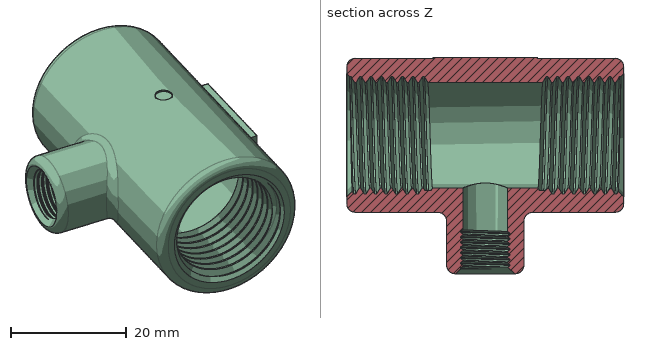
import cadquery as cq
import math

tube_length = 48.0
tube_diameter = 27.0
tube_bore_diameter = 18.6
tube_mouth_diameter = 21.6
tube_mouth_depth = 1.5

branch_diameter = 14.0
branch_reach = 24.0
branch_bore_diameter = 8.6
branch_mouth_diameter = 11.0
branch_mouth_depth = 1.2

edge_radius = 1.5

pad_length = 18.0
pad_height = 12.0

mark_diameter = 3.0
mark_depth = 0.3

tube_thread_pitch = 1.814
tube_thread_major_diameter = 20.6
tube_thread_length = 14.0
tube_thread_start_depth = 0.1
branch_thread_pitch = 0.907
branch_thread_major_diameter = 9.3
branch_thread_length = 7.5
branch_thread_start_depth = 0.35
thread_land_share = 0.13
thread_root_share = 0.17
thread_overlap = 0.05

tube_radius = tube_diameter / 2
tube_end = tube_length / 2

left_mouth = cq.Plane(origin=(-tube_end, 0, 0), xDir=(0, 0, 1), normal=(1, 0, 0))
right_mouth = cq.Plane(origin=(tube_end, 0, 0), xDir=(0, 0, 1), normal=(-1, 0, 0))
branch_mouth = cq.Plane(origin=(0, -branch_reach, 0), xDir=(0, 0, 1), normal=(0, 1, 0))


def make_outer_body():
    """Tube and branch with blended junction and rounded ends."""
    tube = cq.Workplane(left_mouth).circle(tube_radius).extrude(tube_length)
    branch = cq.Workplane(branch_mouth).circle(branch_diameter / 2).extrude(branch_reach)
    body = tube.union(branch)
    junction = cq.selectors.BoxSelector(
        (-branch_diameter, -tube_radius - edge_radius, -branch_diameter),
        (branch_diameter, -edge_radius, branch_diameter),
    )
    body = body.edges(junction).edges("not %CIRCLE").edges("not %LINE").fillet(edge_radius)
    return body.faces("<X or >X or <Y").edges().fillet(edge_radius)


def make_pad():
    """Block whose flat face is tangent to the back of the tube."""
    return cq.Workplane("XY").box(pad_length, tube_radius, pad_height, centered=(True, False, True))


def make_bore(plane, diameter, length, mouth_diameter, mouth_depth):
    """Bore with a conical lead-in at its mouth."""
    bore = cq.Workplane(plane).circle(diameter / 2).extrude(length)
    taper = math.degrees(math.atan((mouth_diameter - diameter) / 2 / mouth_depth))
    lead_in = cq.Workplane(plane).circle(mouth_diameter / 2).extrude(mouth_depth, taper=taper)
    return bore.union(lead_in)


def make_thread(plane, bore_diameter, major_diameter, pitch, start_depth, length, left_handed):
    """Helical groove with a trapezoidal section, cut outward from the bore."""
    inner_radius = bore_diameter / 2 - thread_overlap
    root_radius = major_diameter / 2
    root_half_width = pitch * thread_root_share / 2
    mouth_half_width = pitch * (1 - thread_land_share) / 2
    helix = cq.Wire.makeHelix(pitch, length, inner_radius, lefthand=left_handed)
    groove = (
        cq.Workplane("XZ")
        .moveTo(inner_radius, -mouth_half_width)
        .lineTo(root_radius, -root_half_width)
        .lineTo(root_radius, root_half_width)
        .lineTo(inner_radius, mouth_half_width)
        .close()
        .sweep(cq.Workplane(helix), isFrenet=True)
        .translate((0, 0, start_depth))
    )
    return cq.Workplane(groove.val().moved(cq.Location(plane)))


def make_mark():
    """Shallow disc-shaped recess at the top of the tube."""
    return (
        cq.Workplane("XY", origin=(0, 0, tube_radius - mark_depth))
        .circle(mark_diameter / 2)
        .extrude(2 * mark_depth)
    )


result = make_outer_body().union(make_pad())
result = result.cut(make_mark())

for mouth in (left_mouth, right_mouth):
    result = result.cut(
        make_bore(mouth, tube_bore_diameter, tube_end, tube_mouth_diameter, tube_mouth_depth)
    )
result = result.cut(
    make_bore(branch_mouth, branch_bore_diameter, branch_reach, branch_mouth_diameter, branch_mouth_depth)
)

left_thread = make_thread(
    left_mouth,
    tube_bore_diameter,
    tube_thread_major_diameter,
    tube_thread_pitch,
    tube_thread_start_depth,
    tube_thread_length,
    left_handed=True,
)
result = result.cut(left_thread)
result = result.cut(left_thread.mirror("YZ"))

branch_thread = make_thread(
    branch_mouth,
    branch_bore_diameter,
    branch_thread_major_diameter,
    branch_thread_pitch,
    branch_thread_start_depth,
    branch_thread_length,
    left_handed=False,
)
result = result.cut(branch_thread).solids()